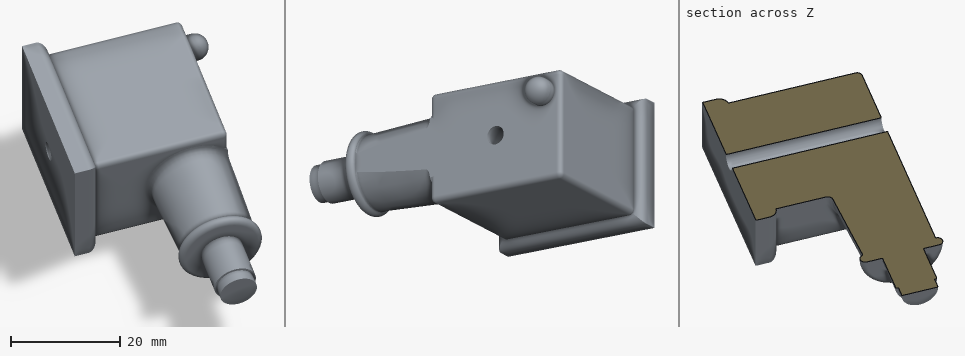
import cadquery as cq
import math

flange_length = 31.5
flange_height = 24.2
flange_thickness = 4.5
flange_round = 1.9

flange_margin = 1.6
body_length = flange_length - 2 * flange_margin
body_height = flange_height - 2 * flange_margin
body_top = 30.0
body_round = 1.0

hole_diameter = 3.55

dome_radius = 2.55
dome_top = 34.0
dome_offset_x = -10.2
dome_offset_z = 6.4

overall_length = 57.9
outlet_axis_y = 23.05
neck_root_radius = 8.0
neck_end_radius = 7.2
neck_fillet = 1.0
neck_length = 16.0
collar_radius = 8.0
collar_width = 1.95
collar_fillet = 0.4
stem_radius = 4.0
stem_length = 8.0
tip_radius = 3.55

body_side = body_length / 2
collar_start = body_side + neck_length
collar_end = collar_start + collar_width
rim_radius = collar_width / 2
rim_centre_x = collar_start + rim_radius
shoulder_radius = collar_radius - rim_radius
stem_end = collar_end + stem_length
tip_end = overall_length - flange_length / 2


def block(length, height, bottom, top):
    """Box centred in X and Z between two Y levels."""
    return cq.Workplane("XY").box(length, top - bottom, height).translate((0, (bottom + top) / 2, 0))


def outlet_rod(radius, start, end):
    """Cylinder on the outlet axis between two X positions."""
    return cq.Workplane("YZ", origin=(start, outlet_axis_y, 0)).circle(radius).extrude(end - start)


def make_flange():
    flange = block(flange_length, flange_height, 0, flange_thickness)
    return flange.faces(">Y").edges().fillet(flange_round)


def make_body():
    body = block(body_length, body_height, 0, body_top)
    return body.edges("|Y").fillet(body_round).faces(">Y").edges().fillet(body_round)


def make_neck():
    """Tapered neck with a fillet at each end, cut flat level with the top of the housing."""
    rise = neck_end_radius + collar_fillet - shoulder_radius
    reach = math.sqrt((rim_radius + collar_fillet) ** 2 - rise**2)
    rim_share = rim_radius / (rim_radius + collar_fillet)
    contact = (rim_centre_x - reach * rim_share, shoulder_radius + rise * rim_share)
    neck = (
        cq.Workplane("XY", origin=(0, outlet_axis_y, 0))
        .moveTo(0, 0)
        .lineTo(0, neck_root_radius)
        .lineTo(body_side, neck_root_radius + neck_fillet)
        .radiusArc((body_side + neck_fillet, neck_root_radius), -neck_fillet)
        .lineTo(rim_centre_x - reach, neck_end_radius)
        .radiusArc(contact, -collar_fillet)
        .lineTo(rim_centre_x, shoulder_radius)
        .lineTo(rim_centre_x, 0)
        .close()
        .revolve(360, (0, 0, 0), (1, 0, 0))
    )
    return neck.intersect(block(2 * collar_start, flange_height, 0, body_top))


def make_collar():
    """Ring with a fully rounded rim, on a plain core."""
    return (
        cq.Workplane("XY", origin=(0, outlet_axis_y, 0))
        .moveTo(collar_start, 0)
        .lineTo(collar_start, shoulder_radius)
        .threePointArc((rim_centre_x, collar_radius), (collar_end, shoulder_radius))
        .lineTo(collar_end, 0)
        .close()
        .revolve(360, (0, 0, 0), (1, 0, 0))
    )


def make_stem():
    stem = outlet_rod(stem_radius, collar_end, stem_end)
    return stem.union(outlet_rod(tip_radius, stem_end, tip_end))


def make_dome():
    """Hemisphere on a short post rising from the housing."""
    post_base = body_top - dome_radius
    post_height = dome_top - dome_radius - post_base
    dome_centre = (dome_offset_x, dome_top - dome_radius, dome_offset_z)
    post = cq.Workplane("ZX", origin=(dome_offset_x, post_base, dome_offset_z)).circle(dome_radius)
    return post.extrude(post_height).union(cq.Workplane("XY").sphere(dome_radius).translate(dome_centre))


def make_hole():
    return cq.Workplane("ZX").circle(hole_diameter / 2).extrude(body_top)


result = (
    make_body()
    .union(make_flange())
    .union(make_neck())
    .union(make_collar())
    .union(make_stem())
    .union(make_dome())
    .cut(make_hole())
)